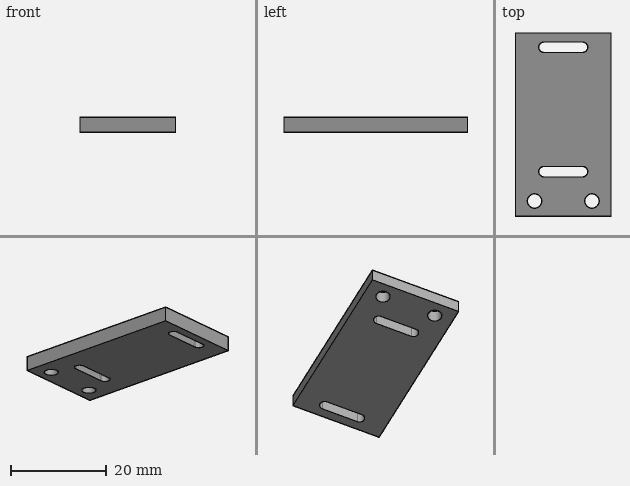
import cadquery as cq

plate_width = 20.0
plate_length = 38.35
plate_thickness = 3.2

slot_length = 10.2
slot_width = 2.15
slot_pitch = 26.0
slot_end_margin = 3.0
far_slot_y = plate_length / 2 - slot_end_margin
near_slot_y = far_slot_y - slot_pitch

hole_diameter = 2.95
hole_spacing = 12.0
hole_end_margin = 3.22
hole_y = hole_end_margin - plate_length / 2


def make_plate():
    return cq.Workplane("XY").rect(plate_width, plate_length).extrude(plate_thickness)


def make_slots():
    centres = [(0, far_slot_y), (0, near_slot_y)]
    slots = cq.Workplane("XY").pushPoints(centres).slot2D(slot_length, slot_width)
    return slots.extrude(plate_thickness)


def make_holes():
    centres = [(side * hole_spacing / 2, hole_y) for side in (-1, 1)]
    holes = cq.Workplane("XY").pushPoints(centres).circle(hole_diameter / 2)
    return holes.extrude(plate_thickness)


result = make_plate().cut(make_slots()).cut(make_holes())